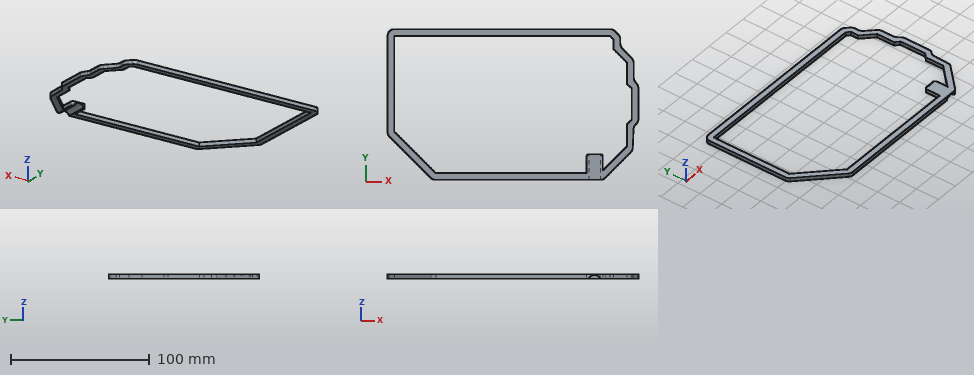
import cadquery as cq

length = 181.0
width = 108.7
thickness = 3.3
wall = 5.0
corner_radius = 5.0

lower_left_chamfer = 32.5
top_right_x = 162.5
shoulder_x = 167.9
shoulder_top_y = width - (shoulder_x - top_right_x)
step_x = 177.5
slanted_side_x = 176.7
bottom_right_x = 155.4
slanted_side_y = slanted_side_x - bottom_right_x

outer_points = [
    (0, lower_left_chamfer),
    (0, width),
    (top_right_x, width),
    (shoulder_x, shoulder_top_y),
    (shoulder_x, 96.0),
    (step_x, 86.3),
    (step_x, 72.4),
    (length, 67.5),
    (length, 42.0),
    (step_x, 38.5),
    (slanted_side_x, slanted_side_y),
    (bottom_right_x, 0),
    (lower_left_chamfer, 0),
]

inner_chamfer_end = 34.7
inner_top_y = width - wall
inner_shoulder_x = shoulder_x - wall
inner_step_x = step_x - wall
inner_right_x = length - wall
inner_bottom_right_x = 153.2

inner_points = [
    (wall, inner_chamfer_end),
    (wall, inner_top_y),
    (160.3, inner_top_y),
    (inner_shoulder_x, 101.1),
    (inner_shoulder_x, 94.3),
    (inner_step_x, 84.7),
    (inner_step_x, 69.1),
    (inner_right_x, 66.0),
    (inner_right_x, 43.5),
    (inner_step_x, 40.2),
    (inner_step_x, wall + inner_step_x - inner_bottom_right_x),
    (inner_bottom_right_x, wall),
    (inner_chamfer_end, wall),
]

tab_center_x = 149.3
tab_width = 11.8
tab_top_y = 18.6
tab_corner_radius = 1.8
channel_radius = 4.5
channel_height = 2.7


def plate(points):
    return cq.Workplane("XY").polyline(points).close().extrude(thickness)


def make_frame():
    """Closed strip with every outer corner rounded."""
    body = plate(outer_points).edges("|Z").fillet(corner_radius)
    return body.cut(plate(inner_points))


def make_tab():
    """Tab rising from the middle of the lower bar, rounded at its free end."""
    base_y = wall / 2
    tab = cq.Workplane("XY").box(tab_width, tab_top_y - base_y, thickness, centered=(True, False, False))
    tab = tab.edges("|Z and >Y").fillet(tab_corner_radius)
    return tab.translate((tab_center_x, base_y, 0))


def make_channel():
    """Cylinder along Y whose top forms the arch through the bar and tab."""
    axis_z = channel_height - channel_radius
    return (
        cq.Workplane("XZ")
        .center(tab_center_x, axis_z)
        .circle(channel_radius)
        .extrude(-tab_top_y)
    )


result = make_frame().union(make_tab()).cut(make_channel())